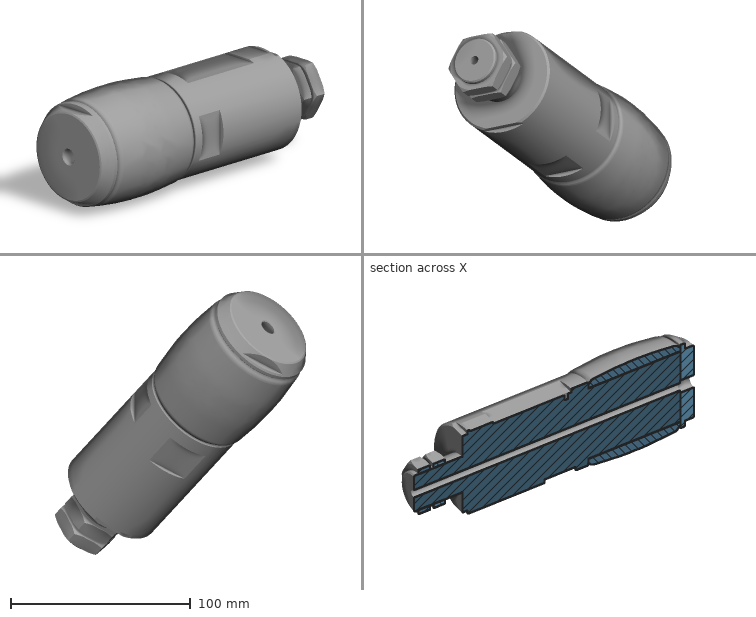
import cadquery as cq
import math

OVERALL_LENGTH = 185.0

CAP_BORE_DIAMETER = 8.5
CAP_BORE_CHAMFER = 0.5
HOUSING_BORE_DIAMETER = 5.0

CAP_DIAMETER = 60.0
CAP_REAR = 9.2
CAP_CONE_START = 6.8
CAP_CONE_TIP_DIAMETER = 51.8
CAP_FACE_DIAMETER = 50.0
CAP_FACE_CHAMFER = 0.46
CAP_FLAT_SPACING = 51.8
CAP_FLAT_REAR = 5.7

SLEEVE_END_DIAMETER = 56.6
SLEEVE_CHAMFER = 1.7
SLEEVE_CROWN_END_DIAMETER = 62.0
SLEEVE_CROWN_INSET = 3.9
SLEEVE_CROWN_DIAMETER = 65.7

JOINT_CHAMFER = 0.4

HOUSING_DIAMETER = 60.0
HOUSING_FRONT = 70.0
HOUSING_REAR = 153.0
HOUSING_REAR_CHAMFER = 1.1
SPIGOT_DIAMETER = 50.0
STEM_DIAMETER = 26.0
STEM_ROOT_DIAMETER = 24.5
STEM_CHAMFER = 0.7
STEM_UNDERCUT = 0.4

LONG_FLAT_SPACING = 55.0
REAR_FLAT_FRONT = 149.7
PLATE_FLAT_FRONT = 81.2
PLATE_FLAT_REAR = 132.5
LABEL_FLAT_HEIGHT = 28.9
LABEL_FLAT_REAR = 148.0
LOWER_FLAT_FRONT = 78.3
LOWER_FLAT_REAR = 98.6
SIDE_FLAT_SPACING = 54.0
SIDE_FLAT_FRONT = 75.0
SIDE_FLAT_REAR = 91.2

PLATE_HOLE_DIAMETER = 2.0
PLATE_HOLE_MOUTH_DIAMETER = 2.5
PLATE_HOLE_MOUTH_TAPER = 45.0
PLATE_HOLE_DEPTH = 3.7
PLATE_HOLE_Y = 84.4

NUT_ACROSS_FLATS = 32.0
NUT_THICKNESS = 8.0
NUT_FACE_DIAMETER = 33.3
NUT_CHAMFER_ANGLE = 30.0
NUT_SIDES = 6
NUT_FRONTS = (164.1, 174.0)

UP = (0, 1)
DOWN = (0, -1)
LEFT = (-1, 0)
RIGHT = (1, 0)


def revolve_about_y(points):
    """Revolve a closed outline of (radius, y) points about the Y axis."""
    return cq.Workplane("XY").polyline(points).close().revolve(360, (0, 0, 0), (0, 1, 0))


def cylinder_along_y(diameter, front, rear):
    """Cylinder on the Y axis between two Y positions."""
    return cq.Workplane("XZ", origin=(0, front, 0)).circle(diameter / 2).extrude(front - rear)


def line(start, end):
    """Straight edge between two (x, y) points."""
    return cq.Edge.makeLine(cq.Vector(*start), cq.Vector(*end))


def flat_cutter(direction, distance, front, rear):
    """Block outside a flat that faces `direction` at `distance` from the Y axis."""
    size = SLEEVE_CROWN_DIAMETER
    middle = distance + size / 2
    block = cq.Workplane("XY").box(size, rear - front, size)
    return block.translate((direction[0] * middle, (front + rear) / 2, direction[1] * middle))


def make_cap():
    radius = CAP_DIAMETER / 2
    cap = revolve_about_y([
        (0, 0),
        (CAP_FACE_DIAMETER / 2, 0),
        (CAP_CONE_TIP_DIAMETER / 2, CAP_FACE_CHAMFER),
        (radius, CAP_CONE_START),
        (radius, CAP_REAR - JOINT_CHAMFER),
        (radius - JOINT_CHAMFER, CAP_REAR),
        (0, CAP_REAR),
    ])
    for direction in (UP, DOWN):
        cap = cap.cut(flat_cutter(direction, CAP_FLAT_SPACING / 2, 0, CAP_FLAT_REAR))
    bore_radius = CAP_BORE_DIAMETER / 2
    bore = revolve_about_y([
        (0, 0),
        (bore_radius + CAP_BORE_CHAMFER, 0),
        (bore_radius, CAP_BORE_CHAMFER),
        (bore_radius, CAP_REAR),
        (0, CAP_REAR),
    ])
    return cap.cut(bore)


def make_sleeve():
    front = CAP_REAR
    rear = HOUSING_FRONT
    end_radius = SLEEVE_END_DIAMETER / 2
    shoulder_radius = end_radius + SLEEVE_CHAMFER
    crown_end_radius = SLEEVE_CROWN_END_DIAMETER / 2
    front_shoulder = (shoulder_radius, front + SLEEVE_CHAMFER)
    front_crown_end = (crown_end_radius, front + SLEEVE_CROWN_INSET)
    crown_middle = (SLEEVE_CROWN_DIAMETER / 2, (front + rear) / 2)
    rear_crown_end = (crown_end_radius, rear - SLEEVE_CROWN_INSET)
    rear_shoulder = (shoulder_radius, rear - SLEEVE_CHAMFER)

    front_tangent = cq.Vector(1, 1)
    rear_tangent = cq.Vector(1, -1)
    outline = cq.Wire.assembleEdges([
        line((SPIGOT_DIAMETER / 2, front), (end_radius, front)),
        line((end_radius, front), front_shoulder),
        cq.Edge.makeTangentArc(cq.Vector(*front_shoulder), front_tangent, cq.Vector(*front_crown_end)),
        cq.Edge.makeThreePointArc(
            cq.Vector(*front_crown_end), cq.Vector(*crown_middle), cq.Vector(*rear_crown_end)
        ),
        cq.Edge.makeTangentArc(cq.Vector(*rear_shoulder), rear_tangent, cq.Vector(*rear_crown_end)),
        line(rear_shoulder, (end_radius, rear)),
        line((end_radius, rear), (SPIGOT_DIAMETER / 2, rear)),
        line((SPIGOT_DIAMETER / 2, rear), (SPIGOT_DIAMETER / 2, front)),
    ])
    return cq.Workplane("XY").add(outline).toPending().revolve(360, (0, 0, 0), (0, 1, 0))


def make_plate_hole():
    """Countersunk blind hole, drilled down from the plate flat."""
    flat_height = LONG_FLAT_SPACING / 2
    countersink = (PLATE_HOLE_MOUTH_DIAMETER - PLATE_HOLE_DIAMETER) / 2
    surface = cq.Workplane("XY", origin=(0, PLATE_HOLE_Y, flat_height))
    hole = surface.circle(PLATE_HOLE_DIAMETER / 2).extrude(-PLATE_HOLE_DEPTH)
    mouth = surface.circle(PLATE_HOLE_MOUTH_DIAMETER / 2).extrude(-countersink, taper=PLATE_HOLE_MOUTH_TAPER)
    return hole.union(mouth)


def make_housing():
    spigot_radius = SPIGOT_DIAMETER / 2
    radius = HOUSING_DIAMETER / 2
    stem_radius = STEM_DIAMETER / 2
    root_radius = STEM_ROOT_DIAMETER / 2
    housing = revolve_about_y([
        (0, CAP_REAR),
        (spigot_radius, CAP_REAR),
        (spigot_radius, HOUSING_FRONT),
        (radius - JOINT_CHAMFER, HOUSING_FRONT),
        (radius, HOUSING_FRONT + JOINT_CHAMFER),
        (radius, HOUSING_REAR - HOUSING_REAR_CHAMFER),
        (radius - HOUSING_REAR_CHAMFER, HOUSING_REAR),
        (root_radius, HOUSING_REAR),
        (stem_radius, HOUSING_REAR + STEM_UNDERCUT),
        (stem_radius, OVERALL_LENGTH - STEM_CHAMFER),
        (root_radius, OVERALL_LENGTH),
        (0, OVERALL_LENGTH),
    ])
    long_flat = LONG_FLAT_SPACING / 2
    side_flat = SIDE_FLAT_SPACING / 2
    flats = [
        (UP, long_flat, REAR_FLAT_FRONT, HOUSING_REAR),
        (DOWN, long_flat, REAR_FLAT_FRONT, HOUSING_REAR),
        (UP, long_flat, PLATE_FLAT_FRONT, PLATE_FLAT_REAR),
        (UP, LABEL_FLAT_HEIGHT, PLATE_FLAT_REAR, LABEL_FLAT_REAR),
        (DOWN, long_flat, LOWER_FLAT_FRONT, LOWER_FLAT_REAR),
        (LEFT, side_flat, SIDE_FLAT_FRONT, SIDE_FLAT_REAR),
        (RIGHT, side_flat, SIDE_FLAT_FRONT, SIDE_FLAT_REAR),
    ]
    for direction, distance, front, rear in flats:
        housing = housing.cut(flat_cutter(direction, distance, front, rear))
    bore = cylinder_along_y(HOUSING_BORE_DIAMETER, CAP_REAR, OVERALL_LENGTH)
    return housing.cut(make_plate_hole()).cut(bore)


def make_nut(front):
    """Hexagon nut with two flats facing up and down and both faces chamfered at the corners."""
    rear = front + NUT_THICKNESS
    across_corners = NUT_ACROSS_FLATS / math.cos(math.pi / NUT_SIDES)
    hexagon = (
        cq.Workplane("XZ", origin=(0, front, 0))
        .polygon(NUT_SIDES, across_corners)
        .extrude(-NUT_THICKNESS)
    )
    face_radius = NUT_FACE_DIAMETER / 2
    corner_radius = across_corners / 2
    drop = (corner_radius - face_radius) * math.tan(math.radians(NUT_CHAMFER_ANGLE))
    envelope = revolve_about_y([
        (0, front),
        (face_radius, front),
        (corner_radius, front + drop),
        (corner_radius, rear - drop),
        (face_radius, rear),
        (0, rear),
    ])
    return hexagon.intersect(envelope).cut(cylinder_along_y(STEM_DIAMETER, front, rear))


cap = make_cap()
sleeve = make_sleeve()
housing = make_housing()
nuts = [make_nut(front) for front in NUT_FRONTS]

result = cq.Compound.makeCompound([
    cap.val(),
    sleeve.val(),
    housing.val(),
    *[nut.val() for nut in nuts],
])